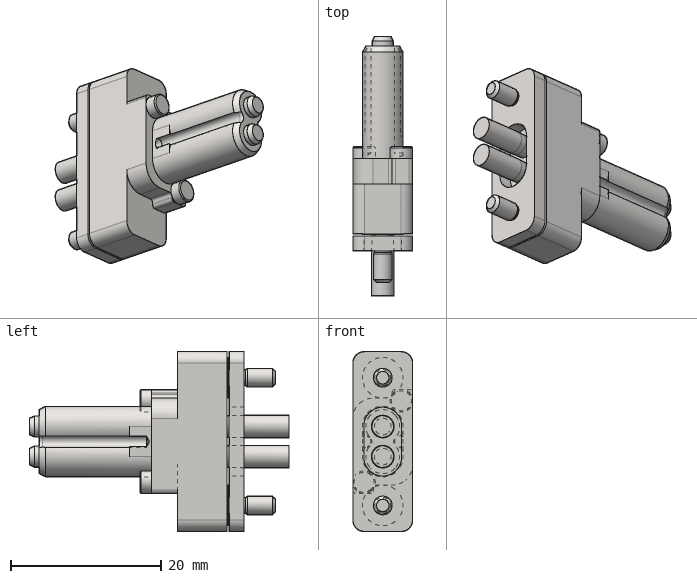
import cadquery as cq

PLATE_FRONT = 6.0
PLATE_BACK = 8.0
WASHER_FRONT = 8.15
BODY_FRONT = 8.27
BODY_BACK = 14.88
FLANGE_BACK = 18.3
HEAD_BACK = 19.9
WEB_BACK = 21.28
SLEEVE_BACK = 33.32
PLUNGER_BACK = 34.6

WIDTH = 8.0
HEIGHT = 24.0
CORNER_RADIUS = 1.55

CONTACT_PITCH = 4.0
BARREL_RADIUS = 3.0 / 2
BARREL_TAPER_FRONT = 6.05
BARREL_TAPER_BACK = 6.95
BARREL_REAR_RADIUS = 1.45
SLEEVE_RADIUS = 2.7
SLEEVE_TIP_RADIUS = 2.25
SLEEVE_TAPER = 0.83
CORE_WIDTH = 3.6
CORE_HEIGHT = 1.4
PLUNGER_RADIUS = 1.42
PLUNGER_TIP_RADIUS = 1.1
PLUNGER_TAPER = 0.65

SLOT_WIDTH = 5.05
SLOT_HEIGHT = 9.17

GROOVE_RADIUS = 0.75
GROOVE_OFFSET = 2.35
GROOVE_BOTTOM = 19.03
GROOVE_TIP = 0.45
GROOVE_FLARE_RADIUS = 0.9
GROOVE_FLARE_LENGTH = 0.5

STUD_Z = 8.5
STUD_FRONT = 1.8
STUD_RADIUS = 1.25
STUD_TIP_RADIUS = 0.83
STUD_TIP_TAPER = 0.4
STUD_NECK_RADIUS = 1.07
STUD_NECK_TAPER_FRONT = 5.57
STUD_NECK_FRONT = 5.8
WASHER_RADIUS = 2.7

FLANGE_HEIGHT = 13.87
FLANGE_SHOULDER_Z = 5.78
FLANGE_SHOULDER_RADIUS = 2.7
EAR_WIDTH = 2.77
EAR_FILLET = 0.5
HEAD_RADIUS = 3.0 / 2
HEAD_CHAMFER = 0.17



def half_turn(shape):
    return shape.rotate((0, 0, 0), (0, 1, 0), 180)


def turned(profile, x, z):
    """Revolve (radius, y) points about an axis parallel to Y through (x, z)."""
    points = profile + [(0, profile[-1][1])]
    first_radius, first_y = profile[0]
    if first_radius > 0:
        points.insert(0, (0, first_y))
    solid = cq.Workplane("XY").polyline(points).close().revolve(360, (0, 0), (0, 1))
    return solid.translate((x, 0, z))


def block(width, height, front, back):
    middle = (front + back) / 2
    return cq.Workplane("XY").box(width, back - front, height).translate((0, middle, 0))


def rounded_block(front, back):
    return block(WIDTH, HEIGHT, front, back).edges("|Y").fillet(CORNER_RADIUS)


def front_plate():
    slot = (
        cq.Workplane("XZ", origin=(0, PLATE_FRONT, 0))
        .slot2D(SLOT_HEIGHT, SLOT_WIDTH, 90)
        .extrude(PLATE_FRONT - PLATE_BACK)
    )
    return rounded_block(PLATE_FRONT, PLATE_BACK).cut(slot)


def stud(z):
    return turned(
        [
            (STUD_TIP_RADIUS, STUD_FRONT),
            (STUD_RADIUS, STUD_FRONT + STUD_TIP_TAPER),
            (STUD_RADIUS, STUD_NECK_TAPER_FRONT),
            (STUD_NECK_RADIUS, STUD_NECK_FRONT),
            (STUD_NECK_RADIUS, WASHER_FRONT),
            (WASHER_RADIUS, WASHER_FRONT),
            (WASHER_RADIUS, BODY_FRONT),
        ],
        0,
        z,
    )


def contact(z):
    return turned(
        [
            (BARREL_RADIUS, 0),
            (BARREL_RADIUS, BARREL_TAPER_FRONT),
            (BARREL_REAR_RADIUS, BARREL_TAPER_BACK),
            (BARREL_REAR_RADIUS, FLANGE_BACK),
            (SLEEVE_RADIUS, FLANGE_BACK),
            (SLEEVE_RADIUS, SLEEVE_BACK - SLEEVE_TAPER),
            (SLEEVE_TIP_RADIUS, SLEEVE_BACK),
            (PLUNGER_RADIUS, SLEEVE_BACK),
            (PLUNGER_RADIUS, PLUNGER_BACK - PLUNGER_TAPER),
            (PLUNGER_TIP_RADIUS, PLUNGER_BACK),
        ],
        0,
        z,
    )


def groove_drill():
    return turned(
        [
            (0, GROOVE_BOTTOM - GROOVE_TIP),
            (GROOVE_RADIUS, GROOVE_BOTTOM),
            (GROOVE_RADIUS, SLEEVE_BACK - GROOVE_FLARE_LENGTH),
            (GROOVE_FLARE_RADIUS, SLEEVE_BACK),
        ],
        GROOVE_OFFSET,
        0,
    )


def rear_flange():
    """Flange with a rounded shoulder and a screw ear, joined with its half-turned copy."""
    side = WIDTH / 2
    top = FLANGE_HEIGHT / 2
    ear_side = side - EAR_WIDTH
    outline = [
        (-side, 0),
        (-side, FLANGE_SHOULDER_Z),
        (ear_side, FLANGE_SHOULDER_Z),
        (ear_side, top),
        (side, top),
        (side, 0),
    ]
    length = FLANGE_BACK - BODY_BACK
    half = cq.Workplane("XZ", origin=(0, BODY_BACK, 0)).polyline(outline).close().extrude(-length)

    def edge_at(x, z):
        return cq.selectors.NearestToPointSelector((x, BODY_BACK + length / 2, z))

    half = half.edges(edge_at(-side, FLANGE_SHOULDER_Z)).fillet(FLANGE_SHOULDER_RADIUS)
    for x, z in [(ear_side, FLANGE_SHOULDER_Z), (ear_side, top), (side, top)]:
        half = half.edges(edge_at(x, z)).fillet(EAR_FILLET)
    return half.union(half_turn(half))


def screw_head():
    x = WIDTH / 2 - HEAD_RADIUS
    z = FLANGE_HEIGHT / 2 - HEAD_RADIUS
    return turned(
        [
            (HEAD_RADIUS, FLANGE_BACK),
            (HEAD_RADIUS, HEAD_BACK - HEAD_CHAMFER),
            (HEAD_RADIUS - HEAD_CHAMFER, HEAD_BACK),
        ],
        x,
        z,
    )


result = rounded_block(BODY_FRONT, BODY_BACK).union(front_plate()).union(rear_flange())

head = screw_head()
result = result.union(head).union(half_turn(head))

for direction in (1, -1):
    result = result.union(stud(direction * STUD_Z))
    result = result.union(contact(direction * CONTACT_PITCH / 2))

result = result.union(block(2 * SLEEVE_RADIUS, CONTACT_PITCH, FLANGE_BACK, WEB_BACK))

result = result.union(block(CORE_WIDTH, CORE_HEIGHT, FLANGE_BACK, SLEEVE_BACK))

drill = groove_drill()
result = result.cut(drill).cut(half_turn(drill))